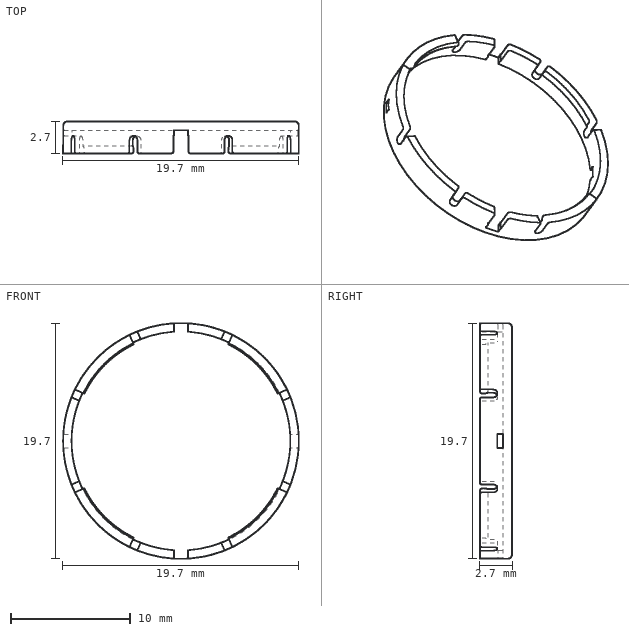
import cadquery as cq
import math

outer_radius = 9.85
inner_radius = 9.15
height = 2.7
floor_level = 1.93
back_edge_radius = 0.37

window_width = 1.15
window_bottom = 1.48

slot_depth = 1.48
slot_width = 0.7
slot_offset_angle = 23.8
slot_corner_radius = 0.2
notch_width = 1.22
notch_depth = 1.52
notch_corner_radius = 0.24

cut_clearance = 0.2

ridge_height = 0.15
ridge_crest_level = 0.3
ridge_round_radius = 0.5


def turned(shape, angle):
    return shape.rotate((0, 0, 0), (0, 1, 0), angle)


def make_shell():
    body = cq.Workplane("XZ").circle(outer_radius).extrude(-height)
    body = body.faces(">Y").edges().fillet(back_edge_radius)
    cavity = cq.Workplane("XZ").circle(inner_radius).extrude(-floor_level)
    return body.cut(cavity)


def make_ridge():
    """Rounded ridge, kept only in the diagonal segment between two slots."""
    root_radius = (inner_radius + outer_radius) / 2
    crest_radius = inner_radius - ridge_height
    round_center = crest_radius + ridge_round_radius
    rim_radius = round_center - math.sqrt(ridge_round_radius**2 - ridge_crest_level**2)
    ridge_top = ridge_crest_level + math.sqrt(ridge_round_radius**2 - (round_center - inner_radius) ** 2)
    sweep_angle = 90 - 2 * slot_offset_angle
    profile = (
        cq.Workplane("XY")
        .moveTo(root_radius, 0)
        .lineTo(rim_radius, 0)
        .threePointArc((crest_radius, ridge_crest_level), (inner_radius, ridge_top))
        .lineTo(root_radius, ridge_top)
        .close()
    )
    ridge = profile.revolve(sweep_angle, (0, 0, 0), (0, 1, 0))
    return turned(ridge, slot_offset_angle)


def radial_cutter(outline):
    """Extrude an XY outline through the +Z side of the wall."""
    return outline.extrude(outer_radius + cut_clearance)


def flared_opening(width, corner_radius, depth, end_radius):
    """Rim opening with rounded mouth corners and optionally rounded end."""
    half = width / 2
    mouth = half + corner_radius
    arc_inset = corner_radius * (1 - math.sqrt(0.5))
    outline = (
        cq.Workplane("XY")
        .moveTo(-mouth, 0)
        .threePointArc((-half - arc_inset, arc_inset), (-half, corner_radius))
        .lineTo(-half, depth - end_radius)
    )
    if end_radius > 0:
        outline = outline.threePointArc((0, depth), (half, depth - end_radius))
    else:
        outline = outline.lineTo(half, depth)
    outline = (
        outline.lineTo(half, corner_radius)
        .threePointArc((half + arc_inset, arc_inset), (mouth, 0))
        .close()
    )
    return radial_cutter(outline)


def make_window():
    center_level = (window_bottom + floor_level) / 2
    outline = (
        cq.Workplane("XY")
        .center(0, center_level)
        .rect(window_width, floor_level - window_bottom)
    )
    return radial_cutter(outline)


result = make_shell()
ridge = make_ridge()
window = make_window()
slot = flared_opening(slot_width, slot_corner_radius, slot_depth, slot_width / 2)
notch = flared_opening(notch_width, notch_corner_radius, notch_depth, 0)

for quarter_turn in (0, 90, 180, 270):
    result = result.union(turned(ridge, quarter_turn))

for quarter_turn in (0, 90, 180, 270):
    result = result.cut(turned(window, quarter_turn))
    for offset in (-slot_offset_angle, slot_offset_angle):
        result = result.cut(turned(slot, quarter_turn + offset))

for half_turn in (0, 180):
    result = result.cut(turned(notch, half_turn))